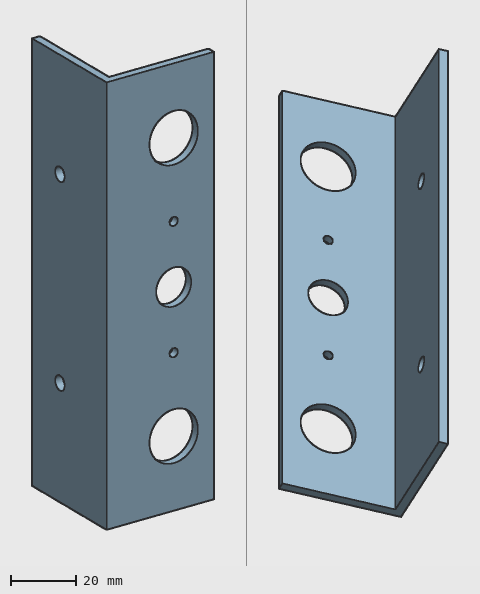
import cadquery as cq

leg_width = 40.0
thickness = 3.0
length = 150.0
mid_height = length / 2

edge_distance = 15.0

mounting_diameter = 5.0
mounting_spacing = 70.0

end_hole_diameter = 18.0
end_hole_spacing = 100.0
center_hole_diameter = 13.0
screw_hole_diameter = 3.0
screw_hole_spacing = 44.0


def make_angle():
    """L-shaped section in XY, extruded along Z."""
    inner_x = leg_width - thickness
    outline = [
        (0, 0),
        (leg_width, 0),
        (leg_width, leg_width),
        (inner_x, leg_width),
        (inner_x, thickness),
        (0, thickness),
    ]
    return cq.Workplane("XY").polyline(outline).close().extrude(length)


def pair_heights(spacing):
    """Heights of two holes placed evenly about mid height."""
    return [mid_height - spacing / 2, mid_height + spacing / 2]


def front_leg_holes(diameter, heights):
    """Cylinders along Y that pass through the leg facing -Y."""
    centers = [(edge_distance, z) for z in heights]
    return cq.Workplane("XZ").pushPoints(centers).circle(diameter / 2).extrude(-thickness)


def side_leg_holes(diameter, heights):
    """Cylinders along X that pass through the leg facing -X."""
    centers = [(leg_width - edge_distance, z) for z in heights]
    plane = cq.Workplane("YZ", origin=(leg_width - thickness, 0, 0))
    return plane.pushPoints(centers).circle(diameter / 2).extrude(thickness)


result = make_angle()
result = result.cut(front_leg_holes(mounting_diameter, pair_heights(mounting_spacing)))
result = result.cut(side_leg_holes(end_hole_diameter, pair_heights(end_hole_spacing)))
result = result.cut(side_leg_holes(screw_hole_diameter, pair_heights(screw_hole_spacing)))
result = result.cut(side_leg_holes(center_hole_diameter, [mid_height]))